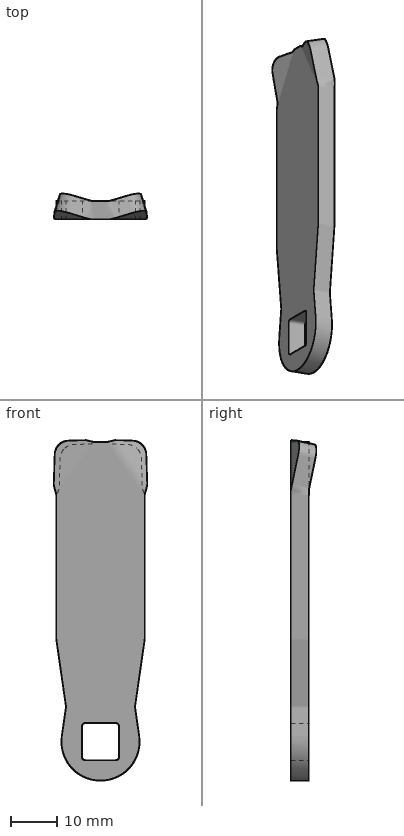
import cadquery as cq
import math

thickness = 4.0
half_width = 9.6
top_height = 65.0
shoulder_height = 22.1
head_radius = 8.5
flare_angle = math.radians(8.2)
neck_rounding = 1.5

hole_side = 8.0
hole_corner_radius = 0.7

fold_slant = math.radians(35.5)
fold_start_x = 1.38
fold_degrees = 20.5
inner_bend_radius = 1.0
neutral_layer = 0.49
tab_corner_radius = 3.0

outer_bend_radius = inner_bend_radius + thickness
bend_length = math.radians(fold_degrees) * (inner_bend_radius + neutral_layer * thickness)
corner_width = half_width - fold_start_x

fold_frame = cq.Plane(
    origin=(fold_start_x, 0, top_height),
    xDir=(math.cos(fold_slant), 0, math.sin(fold_slant)),
    normal=(0, -1, 0),
)
fold_axis_start = (0, 0, -outer_bend_radius)
fold_axis_end = (0, 1, -outer_bend_radius)


def top_edge(across):
    """Position along the fold of the blank's top edge."""
    return -across * math.tan(fold_slant)


def side_edge(across):
    """Position along the fold of the blank's side edge."""
    return (across * math.cos(fold_slant) - corner_width) / math.sin(fold_slant)


def make_plate():
    """Flat handle with a round head, a narrow neck and both top corners left off."""
    tangent_x = head_radius * math.cos(flare_angle)
    tangent_z = head_radius * math.sin(flare_angle)
    slope = math.tan(flare_angle)
    flank_run = (tangent_x - half_width) / slope
    neck_z = (tangent_z + shoulder_height + flank_run) / 2
    neck_x = tangent_x - (neck_z - tangent_z) * slope
    fold_end_z = top_height - corner_width / math.tan(fold_slant)
    plate = (
        cq.Workplane("XZ")
        .moveTo(tangent_x, tangent_z)
        .lineTo(neck_x, neck_z)
        .lineTo(half_width, shoulder_height)
        .lineTo(half_width, fold_end_z)
        .lineTo(fold_start_x, top_height)
        .lineTo(-fold_start_x, top_height)
        .lineTo(-half_width, fold_end_z)
        .lineTo(-half_width, shoulder_height)
        .lineTo(-neck_x, neck_z)
        .lineTo(-tangent_x, tangent_z)
        .threePointArc((0, -head_radius), (tangent_x, tangent_z))
        .close()
        .extrude(-thickness)
    )
    for side in (-1, 1):
        for corner_x, corner_z in ((neck_x, neck_z), (half_width, shoulder_height)):
            corner = cq.selectors.NearestToPointSelector((side * corner_x, thickness / 2, corner_z))
            plate = plate.edges(corner).fillet(neck_rounding)
    return plate


def make_hole():
    """Rounded square that passes through the head."""
    return (
        cq.Workplane("XZ")
        .rect(hole_side, hole_side)
        .extrude(-thickness)
        .edges("|Y")
        .fillet(hole_corner_radius)
    )


def bend_section(across):
    """Radial section of the bend, deeper than the sheet, at a distance across the flat blank."""
    near_axis = -outer_bend_radius + inner_bend_radius / 2
    beyond_sheet = outer_bend_radius / 2
    low = side_edge(across)
    high = top_edge(across)
    corners = [
        cq.Vector(0, low, near_axis),
        cq.Vector(0, high, near_axis),
        cq.Vector(0, high, beyond_sheet),
        cq.Vector(0, low, beyond_sheet),
    ]
    turn = fold_degrees * across / bend_length
    wire = cq.Wire.makePolygon(corners, close=True)
    return wire.rotate(cq.Vector(fold_axis_start), cq.Vector(fold_axis_end), turn)


def make_bend():
    """Curved strip between the plate and the tab, in the fold frame."""
    wedge = cq.Solid.makeLoft([bend_section(0), bend_section(bend_length)], True)
    tube_reach = top_edge(0) - side_edge(0)
    tube = (
        cq.Workplane("XZ", origin=fold_axis_start)
        .circle(outer_bend_radius)
        .circle(inner_bend_radius)
        .extrude(tube_reach, both=True)
    )
    return tube.intersect(cq.Workplane(wedge))


def make_tab():
    """Flat triangular tab with a rounded corner, turned to its folded position in the fold frame."""
    corner_across = corner_width * math.cos(fold_slant)
    flat_tab = (
        cq.Workplane("XY")
        .moveTo(bend_length, top_edge(bend_length))
        .lineTo(bend_length, side_edge(bend_length))
        .lineTo(corner_across, top_edge(corner_across))
        .close()
        .extrude(-thickness)
        .edges("|Z and >X")
        .fillet(tab_corner_radius)
    )
    return flat_tab.translate((-bend_length, 0, 0)).rotate(fold_axis_start, fold_axis_end, fold_degrees)


def make_folded_corner():
    """Bend and tab of the +X corner, placed on the part."""
    folded = make_bend().union(make_tab())
    return cq.Workplane(folded.val().moved(cq.Location(fold_frame)))


right_corner = make_folded_corner()
left_corner = right_corner.mirror("YZ")
result = make_plate().cut(make_hole()).union(right_corner).union(left_corner)